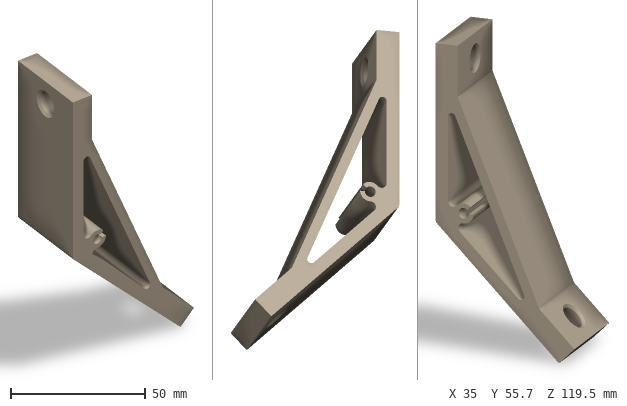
import cadquery as cq
import math

width = 35.0
leg_length = 70.0
end_thickness = 8.8
end_length = 20.0
wall_thickness = 4.95
brace_thickness = 3.8
bend_angle = 45.0
bend_radius = 1.5
window_tip_radius = 1.5

clip_distance = 12.2
clip_inner_radius = 2.1
clip_outer_radius = 3.9
clip_mouth_angle = 45.0
clip_root_radius = 2.0

hole_from_end = 10.0
hole_diameter = 9.2
countersink_depth = 1.0

bend_z = leg_length * math.cos(math.radians(bend_angle))
half_bend = math.radians(bend_angle / 2)
mirror_y = math.cos(half_bend)
mirror_z = math.sin(half_bend)
clip_centre = (clip_distance * mirror_y, clip_distance * mirror_z)
window_corner = (wall_thickness, wall_thickness * math.tan(half_bend))


def mirrored(point):
    """Reflect a profile point in the line halfway between the legs."""
    y, z = point
    along = y * mirror_y + z * mirror_z
    return (2 * along * mirror_y - y, 2 * along * mirror_z - z)


def profile_plane():
    """Sketch plane on the low-X side of the part, with its origin at the bend."""
    return cq.Workplane("YZ", origin=(-width / 2, 0, bend_z))


def prism(points):
    """Closed polygon extruded across the width."""
    return profile_plane().polyline(points).close().extrude(width)


def rod(centre, radius):
    """Cylinder running across the width."""
    return profile_plane().center(*centre).circle(radius).extrude(width)


def round_edge(body, point, radius):
    """Fillet the edge across the width nearest to a profile point."""
    nearest = cq.selectors.NearestToPointSelector((0, point[0], bend_z + point[1]))
    return body.edges("|X").edges(nearest).fillet(radius)


def make_body():
    """Solid outline of the legs and the brace, rounded at the bend."""
    bend = (0, 0)
    upper = [
        (0, leg_length),
        (end_thickness, leg_length),
        (end_thickness, leg_length - end_length),
    ]
    lower = [mirrored(point) for point in reversed(upper)]
    return round_edge(prism([bend] + upper + lower), bend, bend_radius)


def make_window():
    """Triangular opening between the two leg walls and the brace."""
    brace_outer_distance = end_thickness * mirror_y + (leg_length - end_length) * mirror_z
    brace_inner_distance = brace_outer_distance - brace_thickness
    upper_tip = (wall_thickness, (brace_inner_distance - wall_thickness * mirror_y) / mirror_z)
    lower_tip = mirrored(upper_tip)
    window = prism([window_corner, upper_tip, lower_tip])
    for tip in (upper_tip, lower_tip):
        window = round_edge(window, tip, window_tip_radius)
    return window


def make_clip_root():
    """Web from the leg walls to the clip, with a concave blend on either side."""
    blend_y = wall_thickness + clip_root_radius
    centre_spacing = clip_outer_radius + clip_root_radius
    blend_z = clip_centre[1] + math.sqrt(centre_spacing ** 2 - (clip_centre[0] - blend_y) ** 2)
    upper_blend = (blend_y, blend_z)
    lower_blend = mirrored(upper_blend)
    upper_wall_point = (wall_thickness, blend_z)
    lower_wall_point = mirrored(upper_wall_point)
    root = prism([
        window_corner,
        upper_wall_point,
        upper_blend,
        clip_centre,
        lower_blend,
        lower_wall_point,
    ])
    for blend_centre in (upper_blend, lower_blend):
        root = root.cut(rod(blend_centre, clip_root_radius))
    return root


def make_clip_opening():
    """Bore of the clip and the wedge-shaped mouth facing the brace."""
    reach = 2 * clip_outer_radius
    half_mouth = math.radians(clip_mouth_angle / 2)
    mouth = [clip_centre]
    for angle in (half_bend - half_mouth, half_bend + half_mouth):
        mouth.append((
            clip_centre[0] + reach * math.cos(angle),
            clip_centre[1] + reach * math.sin(angle),
        ))
    return prism(mouth).union(rod(clip_centre, clip_inner_radius))


def make_hole(outer_point, inward):
    """Through hole with equal countersinks, from a point on the outer face of a leg inward."""
    bore_radius = hole_diameter / 2
    rim_radius = bore_radius + countersink_depth
    inward_axis = cq.Vector(0, *inward)
    plane = cq.Plane(
        origin=(0, outer_point[0], bend_z + outer_point[1]),
        xDir=inward_axis.cross(cq.Vector(1, 0, 0)),
        normal=(1, 0, 0),
    )
    half_section = [
        (0, 0),
        (rim_radius, 0),
        (bore_radius, countersink_depth),
        (bore_radius, end_thickness - countersink_depth),
        (rim_radius, end_thickness),
        (0, end_thickness),
    ]
    return cq.Workplane(plane).polyline(half_section).close().revolve(360, (0, 0), (0, 1))


upper_hole_point = (0, leg_length - hole_from_end)
upper_inward = (1, 0)

result = make_body().cut(make_window())
result = result.union(make_clip_root()).union(rod(clip_centre, clip_outer_radius))
result = result.cut(make_clip_opening())
result = result.cut(make_hole(upper_hole_point, upper_inward))
result = result.cut(make_hole(mirrored(upper_hole_point), mirrored(upper_inward)))